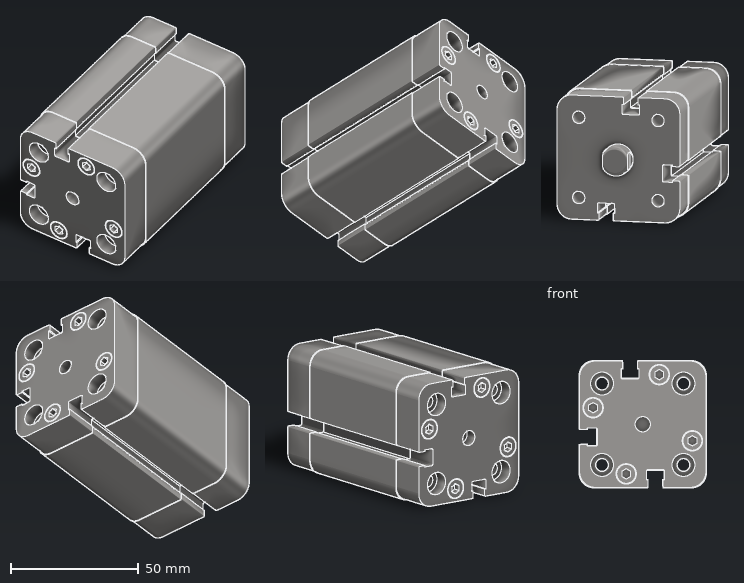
import cadquery as cq
import math

TOTAL_LENGTH = 90.5
CAP_LENGTH = 14.5
ROD_PROJECTION = 6.0
BODY_LENGTH = TOTAL_LENGTH - ROD_PROJECTION
BARREL_LENGTH = BODY_LENGTH - 2 * CAP_LENGTH

BARREL_WIDTH = 50.1
CAP_WIDTH = 49.6
CORNER_RADIUS = 6.0

SLOT_OFFSET = 5.0
SLOT_ANGLES = (0, 90, 180)
SLOT_LIP_LEVEL = 21.8

BARREL_SLOT_NECK_WIDTH = 6.0
BARREL_SLOT_INNER_WIDTH = 7.0
BARREL_SLOT_FLOOR = 18.1
BARREL_SLOT_MOUTH_RADIUS = 0.2

CAP_SLOT_NECK_WIDTH = 5.7
CAP_SLOT_INNER_WIDTH = 6.9
CAP_SLOT_FLOOR = 17.85
CAP_SLOT_MOUTH_RADIUS = 0.5
CAP_SLOT_FLOOR_RADIUS = 0.5

MOUNT_PITCH = 32.0
MOUNT_HOLE_DIAMETER = 4.92
MOUNT_COUNTERBORE_DIAMETER = 9.0
MOUNT_COUNTERBORE_DEPTH = 5.6

CENTRE_HOLE_DIAMETER = 6.0
CENTRE_HOLE_DEPTH = 5.0

SCREW_X = 6.5
SCREW_Z = 19.5
SCREW_COUNT = 4
SCREW_POCKET_DIAMETER = 8.0
SCREW_HEAD_DIAMETER = 7.5
SCREW_HEAD_HEIGHT = 4.0
SCREW_HEX_FLATS = 3.5
SCREW_HEX_DEPTH = 3.0

ROD_DIAMETER = 12.0
ROD_TIP_RADIUS = 1.4
ROD_FLATS_WIDTH = 10.0
ROD_FLATS_LENGTH = 4.6


def sketch_at(y):
    """Sketch plane across the axis at y: local axes are X and Z, negative extrusions run to +Y."""
    return cq.Workplane("XZ", origin=(0, y, 0))


def turned(solid, angle):
    """Turn a solid about the cylinder axis, from +Z towards -X."""
    return solid.rotate((0, 0, 0), (0, -1, 0), angle)


def slot_cutter(y_start, length, surface, neck_width, inner_width, floor, mouth_radius):
    """T-slot opening through the +Z side, with a rounded mouth."""
    neck = neck_width / 2
    inner = inner_width / 2
    mouth = neck + mouth_radius
    mouth_start = surface - mouth_radius
    arc_sag = mouth_radius * (1 - math.sqrt(0.5))
    clear_level = surface + mouth_radius
    cutter = (
        sketch_at(y_start)
        .moveTo(0, floor)
        .lineTo(inner, floor)
        .lineTo(inner, SLOT_LIP_LEVEL)
        .lineTo(neck, SLOT_LIP_LEVEL)
        .lineTo(neck, mouth_start)
        .threePointArc((neck + arc_sag, surface - arc_sag), (mouth, surface))
        .lineTo(mouth, clear_level)
        .lineTo(0, clear_level)
        .mirrorY()
        .extrude(-length)
    )
    return cutter.translate((-SLOT_OFFSET, 0, 0))


def slotted_block(y_start, length, width, cutter):
    """Rounded square block with the slot cut along three of its sides."""
    block = sketch_at(y_start).rect(width, width).extrude(-length)
    block = block.edges("|Y").fillet(CORNER_RADIUS)
    for angle in SLOT_ANGLES:
        block = block.cut(turned(cutter, angle))
    return block


def end_cap(y_start):
    """End cap; its slots have rounded floor corners."""
    cutter = slot_cutter(
        y_start,
        CAP_LENGTH,
        CAP_WIDTH / 2,
        CAP_SLOT_NECK_WIDTH,
        CAP_SLOT_INNER_WIDTH,
        CAP_SLOT_FLOOR,
        CAP_SLOT_MOUTH_RADIUS,
    )
    cutter = cutter.faces("<Z").edges("|Y and (<X or >X)").fillet(CAP_SLOT_FLOOR_RADIUS)
    return slotted_block(y_start, CAP_LENGTH, CAP_WIDTH, cutter)


def barrel():
    """Middle section, slightly wider than the caps."""
    cutter = slot_cutter(
        CAP_LENGTH,
        BARREL_LENGTH,
        BARREL_WIDTH / 2,
        BARREL_SLOT_NECK_WIDTH,
        BARREL_SLOT_INNER_WIDTH,
        BARREL_SLOT_FLOOR,
        BARREL_SLOT_MOUTH_RADIUS,
    )
    return slotted_block(CAP_LENGTH, BARREL_LENGTH, BARREL_WIDTH, cutter)


def mounting_bores(diameter, depth):
    """One bore per mounting position, starting at the closed end."""
    pattern = sketch_at(0).rect(MOUNT_PITCH, MOUNT_PITCH, forConstruction=True)
    return pattern.vertices().circle(diameter / 2).extrude(-depth)


def mounting_holes():
    """Through holes, counterbored from the closed end."""
    through = mounting_bores(MOUNT_HOLE_DIAMETER, BODY_LENGTH)
    return through.union(mounting_bores(MOUNT_COUNTERBORE_DIAMETER, MOUNT_COUNTERBORE_DEPTH))


def centre_hole():
    return sketch_at(0).circle(CENTRE_HOLE_DIAMETER / 2).extrude(-CENTRE_HOLE_DEPTH)


def screw_recess(location):
    """Gap around one screw head, together with its hexagon socket (two corners along Z)."""
    gap = (
        sketch_at(0)
        .circle(SCREW_POCKET_DIAMETER / 2)
        .circle(SCREW_HEAD_DIAMETER / 2)
        .extrude(-SCREW_HEAD_HEIGHT)
    )
    hex_across_corners = SCREW_HEX_FLATS / math.cos(math.pi / 6)
    socket = sketch_at(0).polygon(6, hex_across_corners).extrude(-SCREW_HEX_DEPTH)
    return gap.union(turned(socket, 90)).translate(location)


def screw_locations():
    circle_radius = math.hypot(SCREW_X, SCREW_Z)
    first_angle = math.atan2(SCREW_Z, SCREW_X)
    step = 2 * math.pi / SCREW_COUNT
    angles = [first_angle + index * step for index in range(SCREW_COUNT)]
    return [(circle_radius * math.cos(a), 0, circle_radius * math.sin(a)) for a in angles]


def piston_rod():
    """Rod end with a rounded tip and two wrench flats that run out at 45 degrees."""
    rod_radius = ROD_DIAMETER / 2
    rod = sketch_at(BODY_LENGTH).circle(rod_radius).extrude(-ROD_PROJECTION)
    rod = rod.faces(">Y").edges().fillet(ROD_TIP_RADIUS)

    half_flats = ROD_FLATS_WIDTH / 2
    flats_end = TOTAL_LENGTH - ROD_FLATS_LENGTH
    runout_end = flats_end - (rod_radius - half_flats)
    flat_cutter = (
        cq.Workplane("XY")
        .moveTo(half_flats, TOTAL_LENGTH)
        .lineTo(half_flats, flats_end)
        .lineTo(rod_radius, runout_end)
        .lineTo(rod_radius, TOTAL_LENGTH)
        .close()
        .extrude(rod_radius, both=True)
    )
    return rod.cut(flat_cutter).cut(flat_cutter.mirror("YZ"))


result = end_cap(0).union(barrel()).union(end_cap(CAP_LENGTH + BARREL_LENGTH))
result = result.cut(mounting_holes())
result = result.cut(centre_hole())
for screw_location in screw_locations():
    result = result.cut(screw_recess(screw_location))
result = result.union(piston_rod())